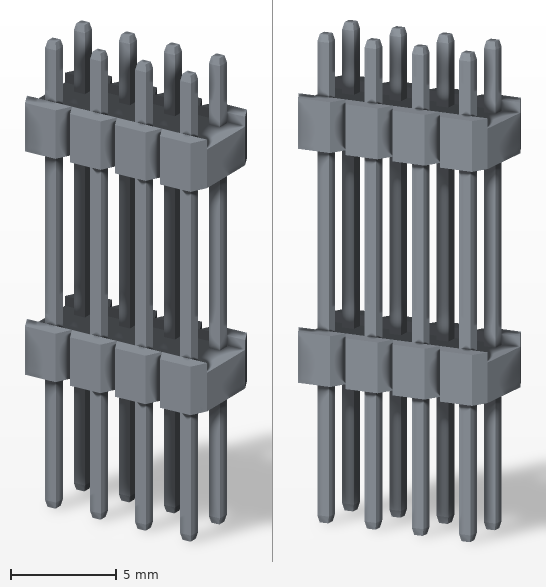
import cadquery as cq

pins_per_row = 4
row_length = 10.15
pitch = row_length / pins_per_row
overall_width = 5.0
pin_length = 24.0

pin_side = 0.62
tip_side = 0.45
tip_height = 0.35

insulator_height = 2.5
insulator_bottoms = (7.0, 18.5)
flange_thickness = 0.82
flange_bevel = 0.4
floor_drop = 0.5
core_width = overall_width - 2 * flange_thickness
core_height = insulator_height - floor_drop

pin_xs = [(i - (pins_per_row - 1) / 2) * pitch for i in range(pins_per_row)]
pin_ys = (-pitch / 2, pitch / 2)


def make_tip():
    """Tapered end of a pin, pointing up from z = 0."""
    base = cq.Workplane("XY").rect(pin_side, pin_side)
    return base.workplane(offset=tip_height).rect(tip_side, tip_side).loft()


def make_pin():
    """Square pin standing on z = 0, tapered at both ends."""
    shank_length = pin_length - 2 * tip_height
    shank = cq.Workplane("XY").box(pin_side, pin_side, shank_length, centered=(True, True, False))
    upper_tip = make_tip().translate((0, 0, shank_length))
    lower_tip = make_tip().mirror("XY")
    return shank.union(upper_tip).union(lower_tip).translate((0, 0, tip_height))


def make_flange_segment(x, side):
    """Bevelled block along one long edge; side is +1 or -1 along Y."""
    inner_y = side * core_width / 2
    outer_y = side * overall_width / 2
    half_base = pitch / 2
    half_face = half_base - flange_bevel
    outline = [
        (x - half_base, inner_y),
        (x + half_base, inner_y),
        (x + half_face, outer_y),
        (x - half_face, outer_y),
    ]
    return cq.Workplane("XY").polyline(outline).close().extrude(insulator_height)


def make_insulator():
    """Flat core between two rows of taller bevelled blocks."""
    body = cq.Workplane("XY").box(row_length, core_width, core_height, centered=(True, True, False))
    for x in pin_xs:
        for side in (-1, 1):
            body = body.union(make_flange_segment(x, side))
    return body


insulator = make_insulator()
pin = make_pin()

result = insulator.translate((0, 0, insulator_bottoms[0]))
result = result.union(insulator.translate((0, 0, insulator_bottoms[1])))
for pin_x in pin_xs:
    for pin_y in pin_ys:
        result = result.union(pin.translate((pin_x, pin_y, 0)))